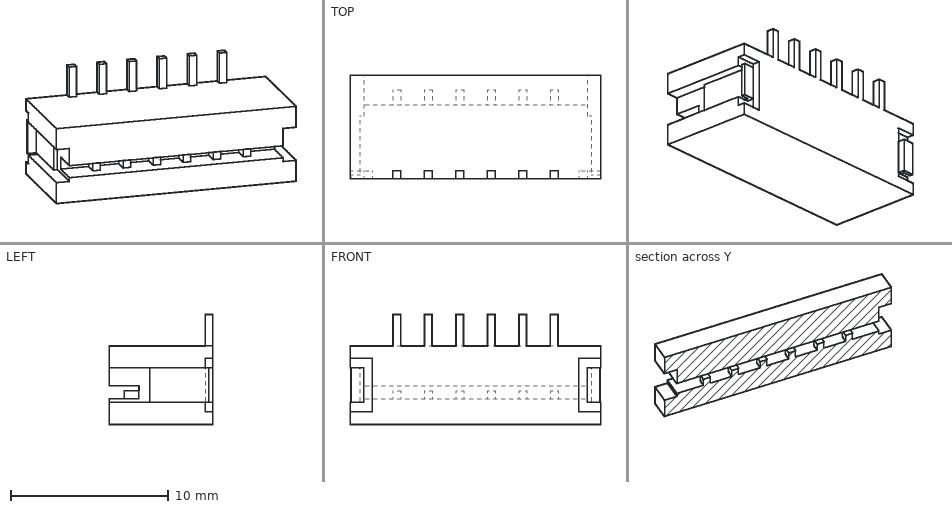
import cadquery as cq

BODY_LENGTH = 15.95
BODY_DEPTH = 6.6
BODY_HEIGHT = 5.0
FRONT_Y = -BODY_DEPTH / 2
BACK_Y = BODY_DEPTH / 2
END_X = BODY_LENGTH / 2

PIN_COUNT = 6
PIN_PITCH = 2.0
PIN_SIZE = 0.5
PIN_LEAD_HEIGHT = 2.0
PIN_CONTACT_GAP = 0.95

CHANNEL_DEPTH = 0.87
CHANNEL_HEIGHT = 2.2
CHANNEL_BOTTOM = (BODY_HEIGHT - CHANNEL_HEIGHT) / 2

NOTCH_LENGTH = 1.4
NOTCH_DEPTH = 0.5
NOTCH_BOTTOM = 0.8
NOTCH_TOP = 4.2

TAB_THICKNESS = 0.25
TAB_LENGTH = 4.0
TAB_END_INSET = 0.05

SLOT_DEPTH = 1.9
SLOT_BOTTOM = 1.65
SLOT_HEIGHT = 0.8


def block(x_range, y_range, z_range):
    """Box between the given lower and upper limits on each axis."""
    (x0, x1), (y0, y1), (z0, z1) = x_range, y_range, z_range
    return cq.Workplane("XY").box(x1 - x0, y1 - y0, z1 - z0, centered=False).translate((x0, y0, z0))


def on_both_ends(shape):
    """The shape together with its mirror image at the opposite end."""
    return shape.union(shape.mirror("YZ"))


def make_housing():
    housing = block((-END_X, END_X), (FRONT_Y, BACK_Y), (0, BODY_HEIGHT))
    channel = block(
        (-END_X, -END_X + CHANNEL_DEPTH),
        (FRONT_Y, BACK_Y),
        (CHANNEL_BOTTOM, CHANNEL_BOTTOM + CHANNEL_HEIGHT),
    )
    notch = block(
        (-END_X, -END_X + NOTCH_LENGTH),
        (FRONT_Y, FRONT_Y + NOTCH_DEPTH),
        (NOTCH_BOTTOM, NOTCH_TOP),
    )
    slot = block(
        (-END_X + CHANNEL_DEPTH, END_X - CHANNEL_DEPTH),
        (BACK_Y - SLOT_DEPTH, BACK_Y),
        (SLOT_BOTTOM, SLOT_BOTTOM + SLOT_HEIGHT),
    )
    return housing.cut(on_both_ends(channel.union(notch))).cut(slot)


def make_solder_tab():
    """Plate against the channel floor with a foot turned outward at the front face."""
    inner_x = -END_X + CHANNEL_DEPTH
    z_range = (CHANNEL_BOTTOM, CHANNEL_BOTTOM + CHANNEL_HEIGHT)
    plate = block((inner_x - TAB_THICKNESS, inner_x), (FRONT_Y, FRONT_Y + TAB_LENGTH), z_range)
    foot = block((-END_X + TAB_END_INSET, inner_x), (FRONT_Y, FRONT_Y + TAB_THICKNESS), z_range)
    return plate.union(foot)


def make_pin(center_x):
    """Upright lead flush with the front face and a contact on the slot floor."""
    x_range = (center_x - PIN_SIZE / 2, center_x + PIN_SIZE / 2)
    lead = block(x_range, (FRONT_Y, FRONT_Y + PIN_SIZE), (SLOT_BOTTOM, BODY_HEIGHT + PIN_LEAD_HEIGHT))
    contact = block(x_range, (FRONT_Y, BACK_Y - PIN_CONTACT_GAP), (SLOT_BOTTOM, SLOT_BOTTOM + PIN_SIZE))
    return lead.union(contact)


result = make_housing().union(on_both_ends(make_solder_tab()))
for index in range(PIN_COUNT):
    result = result.union(make_pin((index - (PIN_COUNT - 1) / 2) * PIN_PITCH))
result = result.clean()